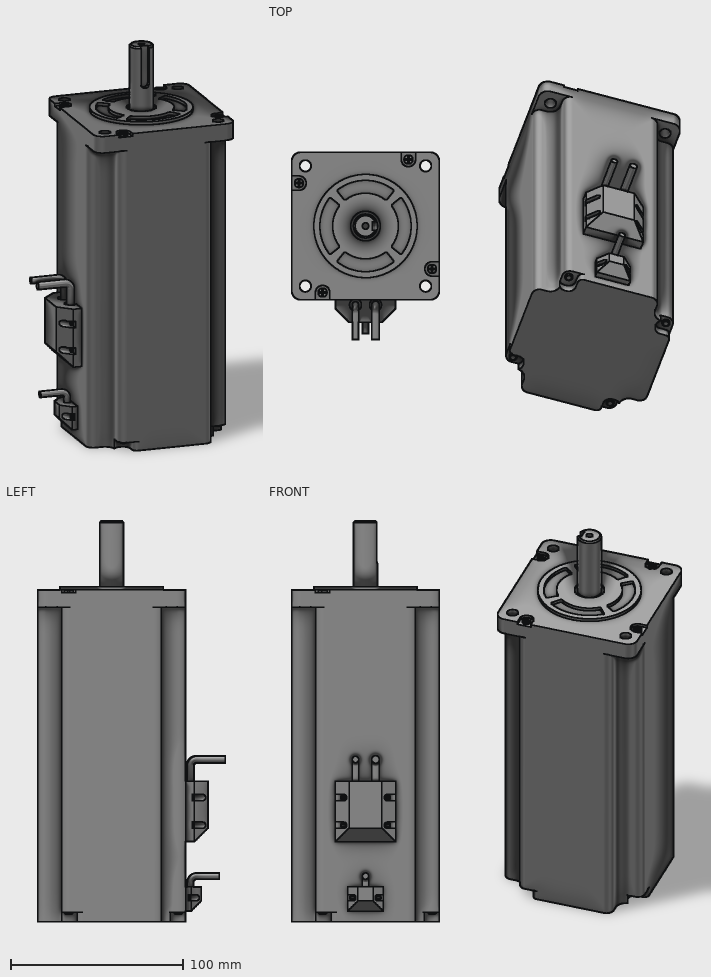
import cadquery as cq
import math

width = 85.9
half_width = width / 2
flange_top = 192.7
flange_thickness = 10.0
flange_bottom = flange_top - flange_thickness
flange_corner_radius = 5.5
mount_hole_offset = 35.0
mount_hole_radius = 3.3

groove_radius = 6.0
groove_wall = mount_hole_offset - groove_radius
groove_lip_radius = 4.7

pilot_radius = 30.0
pilot_height = 1.9
pilot_top = flange_top + pilot_height
recess_inner_radius = 19.0
recess_outer_radius = 26.5
recess_half_angle = 39.0
recess_corner_radius = 1.0
shaft_clearance_radius = 8.5
shaft_clearance_depth = 1.0

shaft_top = 232.7
shaft_radius = 7.0
shaft_chamfer = 1.0
center_hole_radius = 1.9
center_hole_depth = 4.7
key_width = 5.0
key_depth = 3.0
key_length = 25.0

bolt_along_side = 25.0
bolt_from_axis = 38.6
bolt_head_radius = 2.5
bolt_head_height = 1.2
top_pocket_radius = 4.2
top_pocket_depth = 1.6
bottom_pocket_half_width = 5.0
bottom_pocket_floor = 32.3
bottom_pocket_corner_radius = 4.5
bottom_pocket_depth = 5.5
bottom_pocket_lip_radius = 3.0
bolt_end_radius = 2.3
bolt_end_height = 1.2
bolt_end_chamfer = 0.7
bolt_cross_length = 3.7
cross_width = 1.0
cross_depth = 0.7

power_box = {
    "half_width": 17.5, "bottom": 46.5, "top": 81.7, "depth": 13.0, "bevel": 8.0,
    "screw_x": 12.8, "screw_heights": (56.0, 72.1), "seat_depth": 3.7,
}
signal_box = {
    "half_width": 10.2, "bottom": 6.3, "top": 20.2, "depth": 9.0, "bevel": 5.8,
    "screw_x": 7.5, "screw_heights": (14.0,), "seat_depth": 1.6,
}
box_screw_radius = 1.9
box_screw_head_radius = 1.6
box_screw_head_height = 1.5
box_screw_cross_length = 2.3

cable_offset = 2.8
cable_bend_radius = 3.5
cable_hole_radius = 3.5
cable_hole_depth = 2.3
power_cable_height = 94.2
power_cable_reach = 23.0
signal_cable_height = 26.5
signal_cable_reach = 19.5
power_cable_x = 5.8
thin_cable_radius = 1.9
thick_cable_radius = 2.2


def cylinder(radius, bottom, height, x=0, y=0):
    return cq.Workplane("XY", origin=(x, y, bottom)).circle(radius).extrude(height)


def cuboid(x_min, x_max, y_min, y_max, z_min, z_max):
    size = (x_max - x_min, y_max - y_min, z_max - z_min)
    return cq.Workplane("XY", origin=(x_min, y_min, z_min)).box(*size, centered=False)


def quarter_turns(shape):
    return [shape.rotate((0, 0, 0), (0, 0, 1), 90 * turn) for turn in range(4)]


def make_flange():
    flange = cuboid(-half_width, half_width, -half_width, half_width, flange_bottom, flange_top)
    flange = flange.edges("|Z").fillet(flange_corner_radius)
    hole = cylinder(mount_hole_radius, flange_bottom, flange_thickness, mount_hole_offset, mount_hole_offset)
    for turned in quarter_turns(hole):
        flange = flange.cut(turned)
    return flange


def make_body():
    """Square column with a round-bottomed groove along each corner."""
    body = cuboid(-half_width, half_width, -half_width, half_width, 0, flange_bottom)
    groove = cuboid(groove_wall, half_width, groove_wall, half_width, 0, flange_bottom)
    groove = groove.edges("|Z and <X and <Y").fillet(groove_radius)
    for turned in quarter_turns(groove):
        body = body.cut(turned)
    for side in ("<X", ">X", "<Y", ">Y"):
        body = body.faces(side).edges("|Z").fillet(groove_lip_radius)
    return body


def make_pilot():
    pilot = cylinder(pilot_radius, flange_top, pilot_height)
    recess = cylinder(recess_outer_radius, flange_top, pilot_height)
    recess = recess.cut(cylinder(recess_inner_radius, flange_top, pilot_height))
    reach = pilot_radius * math.tan(math.radians(recess_half_angle))
    wedge = (
        cq.Workplane("XY", origin=(0, 0, flange_top))
        .polyline([(0, 0), (pilot_radius, -reach), (pilot_radius, reach)])
        .close()
        .extrude(pilot_height)
    )
    recess = recess.intersect(wedge).edges("|Z").fillet(recess_corner_radius)
    for turned in quarter_turns(recess):
        pilot = pilot.cut(turned)
    clearance_floor = pilot_top - shaft_clearance_depth
    return pilot.cut(cylinder(shaft_clearance_radius, clearance_floor, shaft_clearance_depth))


def make_shaft():
    shaft = cylinder(shaft_radius, flange_top, shaft_top - flange_top)
    shaft = shaft.faces(">Z").chamfer(shaft_chamfer)
    shaft = shaft.cut(cylinder(center_hole_radius, shaft_top - center_hole_depth, center_hole_depth))
    key_floor = shaft_radius - key_depth
    round_center = shaft_top - key_length + key_width / 2
    keyway = cuboid(key_floor, shaft_radius, -key_width / 2, key_width / 2, round_center, shaft_top)
    key_end = (
        cq.Workplane("YZ", origin=(key_floor, 0, round_center)).circle(key_width / 2).extrude(key_depth)
    )
    return shaft.cut(keyway).cut(key_end)


def make_top_pocket():
    """U-shaped pocket around the bolt near the +Y side, open to that side."""
    floor = flange_top - top_pocket_depth
    pocket = cylinder(top_pocket_radius, floor, top_pocket_depth, bolt_along_side, bolt_from_axis)
    left = bolt_along_side - top_pocket_radius
    right = bolt_along_side + top_pocket_radius
    return pocket.union(cuboid(left, right, bolt_from_axis, half_width, floor, flange_top))


def make_bottom_pocket():
    """Round-cornered pocket from the +Y side, cutting into the corner groove, with one rounded lip."""
    left = bolt_along_side - bottom_pocket_half_width
    right = bolt_along_side + bottom_pocket_half_width
    pocket = cuboid(left, right, bottom_pocket_floor, half_width, 0, bottom_pocket_depth)
    pocket = pocket.edges("|Z and <Y").fillet(bottom_pocket_corner_radius)
    lip_x = left - bottom_pocket_lip_radius
    lip_y = half_width - bottom_pocket_lip_radius
    lip_cut = cuboid(lip_x, left, lip_y, half_width, 0, bottom_pocket_depth)
    lip_cut = lip_cut.cut(cylinder(bottom_pocket_lip_radius, 0, bottom_pocket_depth, lip_x, lip_y))
    return pocket.union(lip_cut)


def cut_cross(head, plane, length):
    """Cut a cross recess into a screw head, starting at the recess floor plane."""
    for bar in ((length, cross_width), (cross_width, length)):
        head = head.cut(plane.rect(*bar).extrude(cross_depth))
    return head


def make_top_bolt_head():
    floor = flange_top - top_pocket_depth
    head = cylinder(bolt_head_radius, floor, bolt_head_height, bolt_along_side, bolt_from_axis)
    recess_floor = floor + bolt_head_height - cross_depth
    recess_plane = cq.Workplane("XY", origin=(bolt_along_side, bolt_from_axis, recess_floor))
    return cut_cross(head, recess_plane, bolt_cross_length)


def make_bolt_end():
    """Chamfered bolt end standing out of the bottom pocket's roof."""
    end_bottom = bottom_pocket_depth - bolt_end_height
    end = cylinder(bolt_end_radius, end_bottom, bolt_end_height, bolt_along_side, bolt_from_axis)
    return end.faces("<Z").chamfer(bolt_end_chamfer)


def make_box(box):
    """Connector box with bevelled sides and lower edge, and open screw seats in both sides."""
    outer_y = -half_width - box["depth"]
    half = box["half_width"]
    solid = cuboid(-half, half, outer_y, -half_width, box["bottom"], box["top"])
    solid = solid.faces("<Y").edges("not >Z").chamfer(box["bevel"])
    seat_y = -half_width - box["seat_depth"]
    for height in box["screw_heights"]:
        for side in (-1, 1):
            inner_x = side * box["screw_x"]
            outer_x = side * half
            plane = cq.Workplane("XZ", origin=(inner_x, seat_y, height))
            solid = solid.cut(plane.circle(box_screw_radius).extrude(box["depth"]))
            solid = solid.cut(
                cuboid(
                    min(inner_x, outer_x), max(inner_x, outer_x), outer_y, seat_y,
                    height - box_screw_radius, height + box_screw_radius,
                )
            )
            head = plane.circle(box_screw_head_radius).extrude(box_screw_head_height)
            recess_plane = plane.workplane(offset=box_screw_head_height - cross_depth)
            solid = solid.union(cut_cross(head, recess_plane, box_screw_cross_length))
    return solid


def make_cable(radius, x, bottom, height, reach):
    rise_y = -half_width - cable_offset
    bend_y = rise_y - cable_bend_radius
    bend_z = height - cable_bend_radius
    diagonal = cable_bend_radius * math.sqrt(0.5)
    path = (
        cq.Workplane("YZ", origin=(x, 0, 0))
        .moveTo(rise_y, bottom)
        .lineTo(rise_y, bend_z)
        .threePointArc((bend_y + diagonal, bend_z + diagonal), (bend_y, height))
        .lineTo(-half_width - reach, height)
    )
    return cq.Workplane("XY", origin=(x, rise_y, bottom)).circle(radius).sweep(path)


def make_power_connector():
    connector = make_box(power_box)
    hole_floor = power_box["top"] - cable_hole_depth
    for x, radius in ((-power_cable_x, thin_cable_radius), (power_cable_x, thick_cable_radius)):
        hole = cylinder(cable_hole_radius, hole_floor, cable_hole_depth, x, -half_width - cable_offset)
        connector = connector.cut(hole)
        connector = connector.union(make_cable(radius, x, hole_floor, power_cable_height, power_cable_reach))
    return connector


def make_signal_connector():
    cable = make_cable(thin_cable_radius, 0, signal_box["top"], signal_cable_height, signal_cable_reach)
    return make_box(signal_box).union(cable)


result = make_flange().union(make_body()).union(make_pilot()).union(make_shaft())

for pocket in quarter_turns(make_top_pocket()) + quarter_turns(make_bottom_pocket()):
    result = result.cut(pocket)
for bolt_part in quarter_turns(make_top_bolt_head()) + quarter_turns(make_bolt_end()):
    result = result.union(bolt_part)

result = result.union(make_power_connector()).union(make_signal_connector())